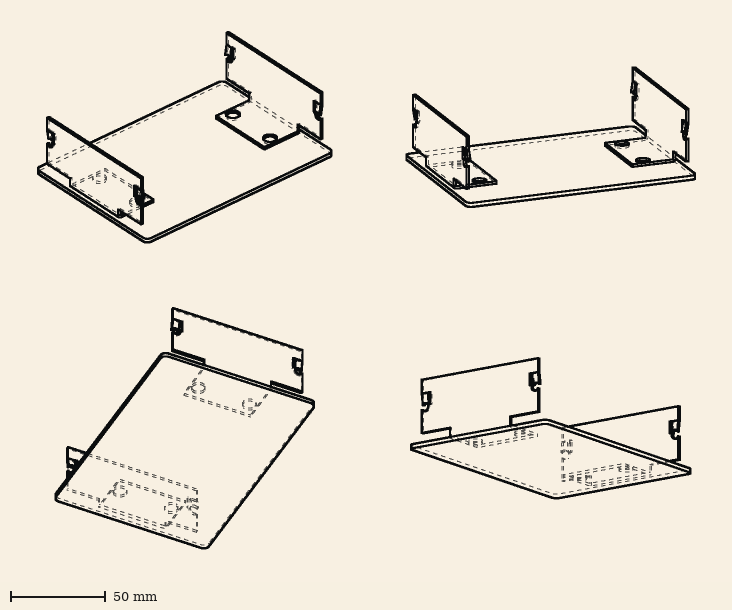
import cadquery as cq
import math

PLATE_WIDTH = 90.0
PLATE_LENGTH = 130.0
PLATE_THICKNESS = 2.3
PLATE_CORNER_RADIUS = 3.0

TOTAL_HEIGHT = 37.0
SHEET = 1.4
INNER_BEND_RADIUS = 0.4
OUTER_BEND_RADIUS = INNER_BEND_RADIUS + SHEET
EDGE_GAP = 2.0
WALL_WIDTH = 76.2
FOOT_WIDTH = 39.3
FOOT_LENGTH = 24.6
WALL_BOTTOM = 8.0
OUTER_FACE_Y = -PLATE_LENGTH / 2 + EDGE_GAP
INNER_FACE_Y = OUTER_FACE_Y + SHEET

FOOT_HOLE_DIAMETER = 7.3
FOOT_HOLE_SPACING = 30.0
FOOT_HOLE_FROM_WALL = 16.6

NOTCH_TOP = 29.5
NOTCH_BOTTOM = 23.1
NOTCH_DEPTH = 5.6
ROUND_DIAMETER = 4.7
ROUND_FROM_EDGE = 2.0
ROUND_HEIGHT = 22.0
TAB_WIDTH = 3.9
TAB_BEND_DEPTH = 0.3
TAB_ANGLE = 9.0


def make_plate():
    """Flat rectangular plate with rounded corners, lying on Z = 0."""
    return (
        cq.Workplane("XY")
        .box(PLATE_WIDTH, PLATE_LENGTH, PLATE_THICKNESS, centered=(True, True, False))
        .edges("|Z")
        .fillet(PLATE_CORNER_RADIUS)
    )


def bent_sheet():
    """Foot and wall joined by a rounded bend, with the wall wider than the foot."""
    foot_bottom = PLATE_THICKNESS
    foot_top = foot_bottom + SHEET
    foot_end = OUTER_FACE_Y + FOOT_LENGTH
    bend_y = OUTER_FACE_Y + OUTER_BEND_RADIUS
    bend_z = foot_bottom + OUTER_BEND_RADIUS
    diagonal = math.sqrt(0.5)
    outer_mid = (bend_y - OUTER_BEND_RADIUS * diagonal, bend_z - OUTER_BEND_RADIUS * diagonal)
    inner_mid = (bend_y - INNER_BEND_RADIUS * diagonal, bend_z - INNER_BEND_RADIUS * diagonal)
    profile = (
        cq.Workplane("YZ")
        .moveTo(foot_end, foot_bottom)
        .lineTo(bend_y, foot_bottom)
        .threePointArc(outer_mid, (OUTER_FACE_Y, bend_z))
        .lineTo(OUTER_FACE_Y, TOTAL_HEIGHT)
        .lineTo(INNER_FACE_Y, TOTAL_HEIGHT)
        .lineTo(INNER_FACE_Y, bend_z)
        .threePointArc(inner_mid, (bend_y, foot_top))
        .lineTo(foot_end, foot_top)
        .close()
    )
    wall = cq.Workplane("XY").box(
        WALL_WIDTH, SHEET, TOTAL_HEIGHT - WALL_BOTTOM, centered=(True, False, False)
    ).translate((0, OUTER_FACE_Y, WALL_BOTTOM))
    return profile.extrude(FOOT_WIDTH / 2, both=True).union(wall)


def foot_holes():
    """Cutters for the two round holes through the foot."""
    hole_y = OUTER_FACE_Y + FOOT_HOLE_FROM_WALL
    return (
        cq.Workplane("XY", origin=(0, hole_y, PLATE_THICKNESS))
        .rarray(FOOT_HOLE_SPACING, 1.3, 2, 1)
        .circle(FOOT_HOLE_DIAMETER / 2)
        .extrude(SHEET)
    )


def side_notch(side):
    """Cutter for the rectangular notch in one side edge of the wall."""
    notch = cq.Workplane("XY").box(
        NOTCH_DEPTH, SHEET, NOTCH_TOP - NOTCH_BOTTOM, centered=(True, False, False)
    )
    return notch.translate((side * (WALL_WIDTH - NOTCH_DEPTH) / 2, OUTER_FACE_Y, NOTCH_BOTTOM))


def round_opening(side):
    """Cutter for the round opening through one side edge of the wall."""
    x = side * (WALL_WIDTH / 2 - ROUND_FROM_EDGE)
    return (
        cq.Workplane("XZ", origin=(x, INNER_FACE_Y, ROUND_HEIGHT))
        .circle(ROUND_DIAMETER / 2)
        .extrude(SHEET)
    )


def tab(side):
    """Tab cut with the round opening while flat, then bent inward about the top of its notch."""
    flat = cq.Workplane("XY").box(
        TAB_WIDTH, SHEET, NOTCH_TOP - ROUND_HEIGHT, centered=(True, False, False)
    ).translate((side * (WALL_WIDTH - TAB_WIDTH) / 2, OUTER_FACE_Y, ROUND_HEIGHT))
    bend_y = INNER_FACE_Y - TAB_BEND_DEPTH
    return flat.cut(round_opening(side)).rotate(
        (0, bend_y, NOTCH_TOP), (1, bend_y, NOTCH_TOP), TAB_ANGLE
    )


def make_bracket():
    """Bracket at the -Y end of the plate."""
    bracket = bent_sheet().cut(foot_holes())
    for side in (-1, 1):
        bracket = bracket.cut(side_notch(side)).cut(round_opening(side)).union(tab(side))
    return bracket


plate = make_plate()
brackets = [make_bracket().rotate((0, 0, 0), (0, 0, 1), turn) for turn in (0, 180)]

result = cq.Compound.makeCompound([plate.val(), *[bracket.val() for bracket in brackets]])